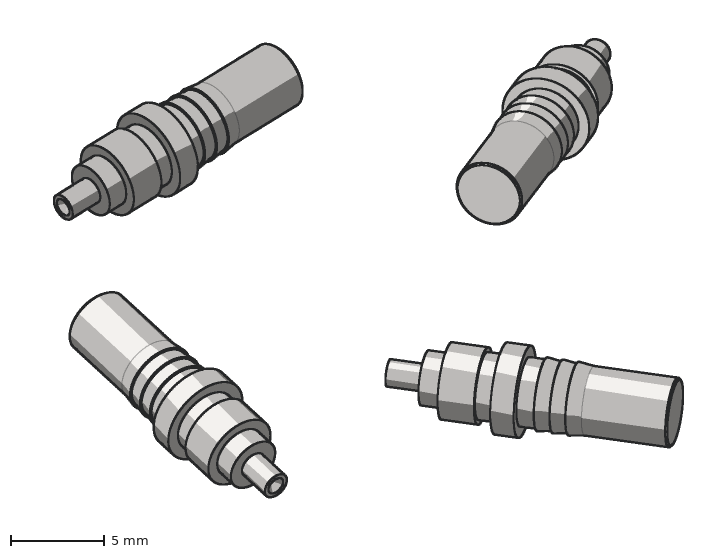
import cadquery as cq

total_length = 15.81

pin_diameter = 1.5
pin_length = 2.0
shoulder_diameter = 3.0
shoulder_length = 1.2
collar_diameter = 4.2
collar_length = 2.0
neck_diameter = 3.7
neck_length = 1.0
flange_diameter = 5.01
flange_length = 1.3
barrel_diameter = 3.78
barrel_gap_length = 0.98
barb_tip_diameter = 4.02
barb_pitch = 0.87
barb_count = 3
end_chamfer = 0.1
socket_diameter = 1.0
socket_depth = socket_diameter / 2

tip = -total_length / 2
tail = total_length / 2


def frustum(start, length, start_diameter, end_diameter):
    """Truncated cone on the Y axis, running from start towards +Y."""
    return cq.Workplane(cq.Solid.makeCone(
        start_diameter / 2, end_diameter / 2, length, cq.Vector(0, start, 0), cq.Vector(0, 1, 0)
    ))


def cylinder(start, length, diameter):
    """Cylinder on the Y axis, running from start towards +Y."""
    return cq.Workplane(cq.Solid.makeCylinder(
        diameter / 2, length, cq.Vector(0, start, 0), cq.Vector(0, 1, 0)
    ))


shoulder_start = tip + pin_length
collar_start = shoulder_start + shoulder_length
neck_start = collar_start + collar_length
flange_start = neck_start + neck_length
barrel_start = flange_start + flange_length
barbs_start = barrel_start + barrel_gap_length

body = cylinder(tip, pin_length, pin_diameter)
body = body.union(cylinder(shoulder_start, shoulder_length, shoulder_diameter))
body = body.union(cylinder(collar_start, collar_length, collar_diameter))
body = body.union(cylinder(neck_start, neck_length, neck_diameter))
body = body.union(cylinder(flange_start, flange_length, flange_diameter))

barrel = cylinder(barrel_start, tail - barrel_start, barrel_diameter)
body = body.union(barrel.faces(">Y").chamfer(end_chamfer))

for index in range(barb_count):
    barb_start = barbs_start + index * barb_pitch
    body = body.union(frustum(barb_start, barb_pitch, barb_tip_diameter, barrel_diameter))

result = body.cut(frustum(tip, socket_depth, socket_diameter, 0))